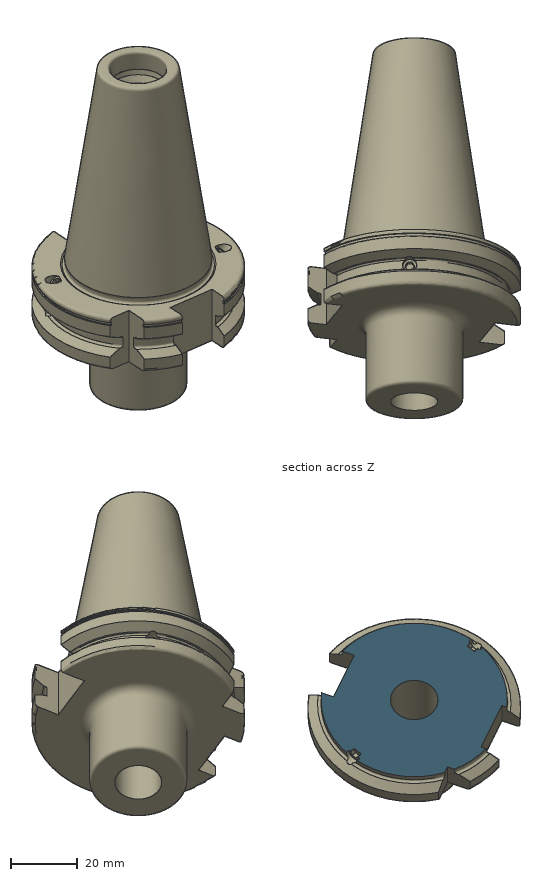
import math

import cadquery as cq

GAUGE_RADIUS = 44.45 / 2
TAPER_LENGTH = 68.4
TAPER_SLOPE = 7 / 24 / 2
TAPER_TIP_FILLET = 1.0
TAPER_BASE_Z = 1.0

NECK_RADIUS = 21.9
NECK_TOP_Z = 0.2

NECK_RELIEF_RADIUS = 23.2
NECK_RELIEF_DEPTH = 0.25
NECK_RELIEF_FLOOR_WIDTH = 0.85
NECK_FILLET = 0.75

FLANGE_RADIUS = 63.55 / 2
FLANGE_TOP_Z = -1.0
FLANGE_BOTTOM_Z = -19.1
FLANGE_TOP_FILLET = 1.0
FLANGE_BOTTOM_FILLET = 1.0

RING_GROOVE_TOP_Z = -2.5
RING_GROOVE_WIDTH = 1.0
RING_GROOVE_DEPTH = 0.5

GRIP_GROOVE_Z = -11.1
GRIP_GROOVE_ROOT_RADIUS = 27.85
GRIP_GROOVE_RIM_WIDTH = 7.1
GRIP_GROOVE_ROOT_WIDTH = 3.75
GRIP_GROOVE_WALL_ANGLE = 30
GRIP_GROOVE_ROOT_FILLET = 0.5

HUB_RADIUS = 14.5
HUB_BOTTOM_Z = -44.0
HUB_ROOT_FILLET = 3.0
HUB_END_FILLET = 1.0

BORE_RADIUS = 7.0
COUNTERBORE_RADIUS = 8.5
COUNTERBORE_DEPTH = 6.1
COUNTERBORE_RIM_FILLET = 0.85
BORE_RELIEF_RADIUS = 8.9
BORE_RELIEF_LENGTH = 1.9
BORE_RELIEF_STRAIGHT_LENGTH = 0.5
BORE_CONE_LENGTH = 2.0

SLOT_WIDTH = 16.1
LEFT_SLOT_X = -22.8
RIGHT_SLOT_X = 25.0
NOTCH_X = 18.45
NOTCH_Y = -18.65

CUT_OVERRUN = 1.0

PORT_ANGLES = (70, 250)
PORT_RADIUS = 2.1
PORT_RECESS = 1.2
SOCKET_FLATS = 2.5
SOCKET_DEPTH = 1.5
FACE_PORT_RADIAL = 26.8
FACE_PORT_TILT = 35


def circle_edge(body, radius, z):
    """Select the circular edge of the given radius and height."""
    tolerance = 0.01
    box = cq.selectors.BoxSelector(
        (-radius - tolerance, -radius - tolerance, z - tolerance),
        (radius + tolerance, radius + tolerance, z + tolerance),
        boundingbox=True,
    )
    return body.edges(box).edges(cq.selectors.RadiusNthSelector(-1))


def fillet_circle(body, radius, z, fillet_radius):
    """Round the circular edge of the given radius and height."""
    return circle_edge(body, radius, z).fillet(fillet_radius)


def turned_body():
    tip_radius = GAUGE_RADIUS - TAPER_LENGTH * TAPER_SLOPE
    taper_base_radius = GAUGE_RADIUS - TAPER_BASE_Z * TAPER_SLOPE
    relief_floor_radius = NECK_RADIUS + NECK_RELIEF_FLOOR_WIDTH
    relief_floor_z = FLANGE_TOP_Z - NECK_RELIEF_DEPTH
    outline = [
        (0, TAPER_LENGTH),
        (tip_radius, TAPER_LENGTH),
        (taper_base_radius, TAPER_BASE_Z),
        (NECK_RADIUS, NECK_TOP_Z),
        (NECK_RADIUS, relief_floor_z),
        (relief_floor_radius, relief_floor_z),
        (NECK_RELIEF_RADIUS, FLANGE_TOP_Z),
        (FLANGE_RADIUS, FLANGE_TOP_Z),
        (FLANGE_RADIUS, FLANGE_BOTTOM_Z),
        (HUB_RADIUS, FLANGE_BOTTOM_Z),
        (HUB_RADIUS, HUB_BOTTOM_Z),
        (0, HUB_BOTTOM_Z),
    ]
    body = cq.Workplane("XZ").polyline(outline).close().revolve(360, (0, 0, 0), (0, 1, 0))
    body = fillet_circle(body, tip_radius, TAPER_LENGTH, TAPER_TIP_FILLET)
    body = fillet_circle(body, NECK_RADIUS, relief_floor_z, NECK_FILLET)
    body = fillet_circle(body, FLANGE_RADIUS, FLANGE_TOP_Z, FLANGE_TOP_FILLET)
    body = fillet_circle(body, FLANGE_RADIUS, FLANGE_BOTTOM_Z, FLANGE_BOTTOM_FILLET)
    body = fillet_circle(body, HUB_RADIUS, FLANGE_BOTTOM_Z, HUB_ROOT_FILLET)
    return fillet_circle(body, HUB_RADIUS, HUB_BOTTOM_Z, HUB_END_FILLET)


def ring_groove():
    return (
        cq.Workplane("XY", origin=(0, 0, RING_GROOVE_TOP_Z - RING_GROOVE_WIDTH))
        .circle(FLANGE_RADIUS + CUT_OVERRUN)
        .circle(FLANGE_RADIUS - RING_GROOVE_DEPTH)
        .extrude(RING_GROOVE_WIDTH)
    )


def grip_groove():
    wall_slope = math.tan(math.radians(GRIP_GROOVE_WALL_ANGLE))
    outer_radius = FLANGE_RADIUS + CUT_OVERRUN
    rim_half = GRIP_GROOVE_RIM_WIDTH / 2
    root_half = GRIP_GROOVE_ROOT_WIDTH / 2
    wall_foot_radius = FLANGE_RADIUS - (rim_half - root_half) / wall_slope
    outer_half = rim_half + (outer_radius - FLANGE_RADIUS) * wall_slope
    outline = [
        (outer_radius, GRIP_GROOVE_Z + outer_half),
        (wall_foot_radius, GRIP_GROOVE_Z + root_half),
        (GRIP_GROOVE_ROOT_RADIUS, GRIP_GROOVE_Z + root_half),
        (GRIP_GROOVE_ROOT_RADIUS, GRIP_GROOVE_Z - root_half),
        (wall_foot_radius, GRIP_GROOVE_Z - root_half),
        (outer_radius, GRIP_GROOVE_Z - outer_half),
    ]
    groove = cq.Workplane("XZ").polyline(outline).close().revolve(360, (0, 0, 0), (0, 1, 0))
    root_edges = groove.edges("%CIRCLE").edges(cq.selectors.RadiusNthSelector(0))
    return root_edges.fillet(GRIP_GROOVE_ROOT_FILLET)


def bore():
    relief_top_z = TAPER_LENGTH - COUNTERBORE_DEPTH
    relief_bottom_z = relief_top_z - BORE_RELIEF_LENGTH
    outline = [
        (0, TAPER_LENGTH),
        (COUNTERBORE_RADIUS, TAPER_LENGTH),
        (COUNTERBORE_RADIUS, relief_top_z),
        (BORE_RELIEF_RADIUS, relief_top_z),
        (BORE_RELIEF_RADIUS, relief_top_z - BORE_RELIEF_STRAIGHT_LENGTH),
        (COUNTERBORE_RADIUS, relief_bottom_z),
        (BORE_RADIUS, relief_bottom_z - BORE_CONE_LENGTH),
        (BORE_RADIUS, HUB_BOTTOM_Z),
        (0, HUB_BOTTOM_Z),
    ]
    return cq.Workplane("XZ").polyline(outline).close().revolve(360, (0, 0, 0), (0, 1, 0))


def block(x_min, x_max, y_min, y_max):
    """Block through the full flange height."""
    return (
        cq.Workplane("XY", origin=(0, 0, FLANGE_BOTTOM_Z))
        .moveTo(x_min, y_min)
        .lineTo(x_max, y_min)
        .lineTo(x_max, y_max)
        .lineTo(x_min, y_max)
        .close()
        .extrude(FLANGE_TOP_Z - FLANGE_BOTTOM_Z)
    )


def flange_cutouts():
    reach = FLANGE_RADIUS + CUT_OVERRUN
    slot_half = SLOT_WIDTH / 2
    left_slot = block(-reach, LEFT_SLOT_X, -slot_half, slot_half)
    right_slot = block(RIGHT_SLOT_X, reach, -slot_half, slot_half)
    notch = block(NOTCH_X, reach, -reach, NOTCH_Y)
    return left_slot.union(right_slot).union(notch)


def port(mouth, inward):
    """Recess from the mouth along the inward direction, ending in a hexagon socket."""
    overrun = 2 * PORT_RADIUS
    plane = cq.Plane(origin=mouth, xDir=(0, 1, 0), normal=inward)
    recess = (
        cq.Workplane(plane).workplane(offset=-overrun).circle(PORT_RADIUS).extrude(overrun + PORT_RECESS)
    )
    socket_diameter = SOCKET_FLATS / math.cos(math.pi / 6)
    socket = (
        cq.Workplane(plane).workplane(offset=PORT_RECESS).polygon(6, socket_diameter).extrude(SOCKET_DEPTH)
    )
    return recess.union(socket)


def port_pair():
    """Radial port in the groove root and tilted port in the flange top, along +X."""
    tilt = math.radians(FACE_PORT_TILT)
    root_port = port((GRIP_GROOVE_ROOT_RADIUS, 0, GRIP_GROOVE_Z), (-1, 0, 0))
    face_port = port((FACE_PORT_RADIAL, 0, FLANGE_TOP_Z), (-math.sin(tilt), 0, -math.cos(tilt)))
    return root_port.union(face_port)


body = turned_body().cut(bore())
body = fillet_circle(body, COUNTERBORE_RADIUS, TAPER_LENGTH, COUNTERBORE_RIM_FILLET)
body = body.cut(ring_groove()).cut(grip_groove()).cut(flange_cutouts())
for angle in PORT_ANGLES:
    body = body.cut(port_pair().rotate((0, 0, 0), (0, 0, 1), angle))

result = body